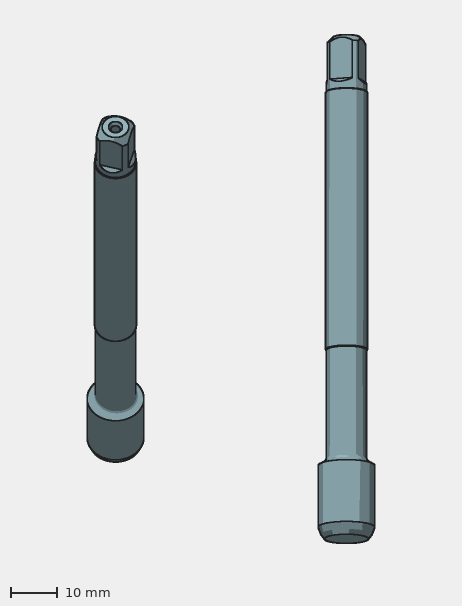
import cadquery as cq
import math

total_length = 110.0

head_diameter = 12.2
head_length = 16.1
tip_diameter = 9.5
lead_step_diameter = 11.0
lead_step_height = 1.0
lead_height = 2.5

neck_diameter = 8.7
shank_diameter = 9.0
shank_start = 41.4
shank_end = 98.0
shank_chamfer = (shank_diameter - neck_diameter) / 2

shoulder_angle = math.radians(30)
neck_fillet_radius = 1.2

square_width = 7.0
flat_bottom = 100.3
top_face_diameter = 5.7

center_hole_diameter = 2.0
center_hole_depth = 3.3
countersink_diameter = 3.0
countersink_angle = 60.0
drill_point_angle = 118.0

head_radius = head_diameter / 2
neck_radius = neck_diameter / 2
shank_radius = shank_diameter / 2


def cone_height(radius_change, included_angle):
    """Height over which a cone of this included angle changes radius."""
    return radius_change / math.tan(math.radians(included_angle / 2))


def make_head():
    return (
        cq.Workplane("XZ")
        .moveTo(0, 0)
        .lineTo(tip_diameter / 2, 0)
        .lineTo(lead_step_diameter / 2, lead_step_height)
        .lineTo(head_radius, lead_height)
        .lineTo(head_radius, head_length)
        .lineTo(0, head_length)
        .close()
        .revolve(360, (0, 0, 0), (0, 1, 0))
    )


def make_turned_shank():
    turn = math.pi / 2 - shoulder_angle
    fillet_start_radius = neck_radius + neck_fillet_radius * (1 - math.cos(turn))
    fillet_start_z = head_length + (head_radius - fillet_start_radius) * math.tan(shoulder_angle)
    fillet_center_r = neck_radius + neck_fillet_radius
    fillet_end_z = fillet_start_z + neck_fillet_radius * math.sin(turn)
    fillet_middle = (
        fillet_center_r - neck_fillet_radius * math.cos(turn / 2),
        fillet_end_z - neck_fillet_radius * math.sin(turn / 2),
    )
    top_face_radius = top_face_diameter / 2
    top_chamfer = neck_radius - top_face_radius
    return (
        cq.Workplane("XZ")
        .moveTo(0, head_length)
        .lineTo(head_radius, head_length)
        .lineTo(fillet_start_radius, fillet_start_z)
        .threePointArc(fillet_middle, (neck_radius, fillet_end_z))
        .lineTo(neck_radius, shank_start)
        .lineTo(shank_radius, shank_start + shank_chamfer)
        .lineTo(shank_radius, shank_end - shank_chamfer)
        .lineTo(neck_radius, shank_end)
        .lineTo(neck_radius, total_length - top_chamfer)
        .lineTo(top_face_radius, total_length)
        .lineTo(0, total_length)
        .close()
        .revolve(360, (0, 0, 0), (0, 1, 0))
    )


def make_flat_cutter():
    """Cutter for the +X flat, with a 45 degree run-out at its lower end."""
    half_width = square_width / 2
    cut_depth = shank_radius - half_width
    return (
        cq.Workplane("XZ")
        .moveTo(half_width, total_length)
        .lineTo(half_width, flat_bottom)
        .lineTo(shank_radius, flat_bottom - cut_depth)
        .lineTo(shank_radius, total_length)
        .close()
        .extrude(shank_radius, both=True)
    )


def make_center_hole():
    hole_radius = center_hole_diameter / 2
    countersink_radius = countersink_diameter / 2
    countersink_depth = cone_height(countersink_radius - hole_radius, countersink_angle)
    hole_bottom = total_length - center_hole_depth
    return (
        cq.Workplane("XZ")
        .moveTo(0, total_length)
        .lineTo(countersink_radius, total_length)
        .lineTo(hole_radius, total_length - countersink_depth)
        .lineTo(hole_radius, hole_bottom)
        .lineTo(0, hole_bottom - cone_height(hole_radius, drill_point_angle))
        .close()
        .revolve(360, (0, 0, 0), (0, 1, 0))
    )


def make_shank():
    body = make_turned_shank()
    for angle in (0, 90, 180, 270):
        body = body.cut(make_flat_cutter().rotate((0, 0, 0), (0, 0, 1), angle))
    return body.cut(make_center_hole())


head = make_head()
shank = make_shank()

result = cq.Compound.makeCompound([head.val(), shank.val()])